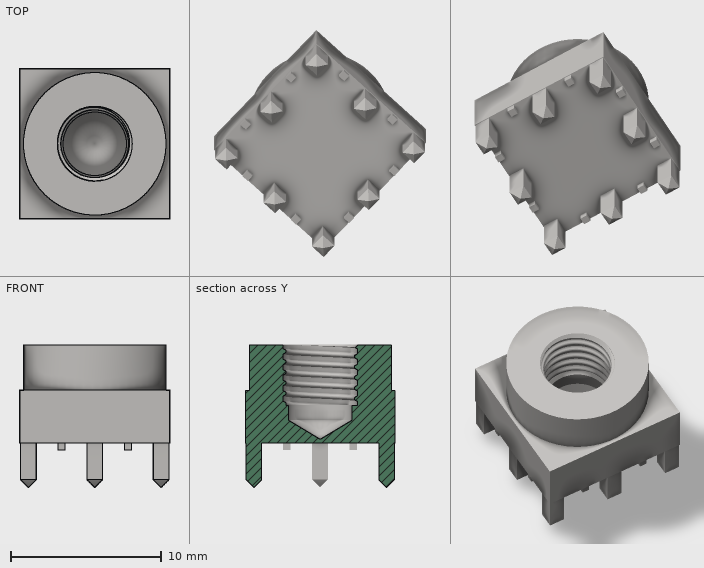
import cadquery as cq
import math

base_side = 10.0
base_height = 3.53
collar_diameter = 9.5
collar_height = 3.0
top_z = base_height + collar_height

pin_pitch = 4.42
pin_width = 1.06
pin_length = 2.97
pin_tip_flat = 0.002
pin_tip_height = (pin_width - pin_tip_flat) / 2
pin_tip_angle = 45.0
pin_shank_length = pin_length - pin_tip_height
pin_places = (-pin_pitch, 0.0, pin_pitch)

peg_width = 0.48
peg_height = 0.47
peg_offset_along = pin_pitch / 2
peg_offset_out = pin_pitch + pin_width / 2 - peg_width / 2

root_radius = 2.47
mouth_radius = 2.5
thread_depth = 4.0
drill_radius = 2.115
drill_depth = 5.0
drill_point_angle = 118.0
drill_point_depth = drill_radius / math.tan(math.radians(drill_point_angle / 2))

thread_pitch = 0.7
flank_angle = 30.0
crest_edge_radius = 2.305
crest_radius = 2.25
crest_width = 0.2
ridge_embed = 0.05
ridge_turns = 7
ridge_length = ridge_turns * thread_pitch
ridge_overrun = 0.714
ridge_top_z = top_z + ridge_overrun
ridge_top_angle = 45.0


def square_post(x, y, width, height):
    """Square post hanging from the underside of the base."""
    return cq.Workplane("XY").center(x, y).rect(width, width).extrude(-height)


def make_housing():
    """Square base with the round collar on top."""
    base = cq.Workplane("XY").rect(base_side, base_side).extrude(base_height)
    collar = cq.Workplane("XY").circle(collar_diameter / 2).extrude(top_z)
    return base.union(collar)


def make_pin(x, y):
    """Square pin ending in a four-sided point."""
    shank = square_post(x, y, pin_width, pin_shank_length)
    tip = (
        cq.Workplane("XY", origin=(x, y, -pin_shank_length))
        .rect(pin_width, pin_width)
        .extrude(-pin_tip_height, taper=pin_tip_angle)
    )
    return shank.union(tip)


def make_bore():
    """Threaded bore down to a shoulder, with a narrower drilled hole and its point below."""
    shoulder_z = top_z - thread_depth
    drill_z = top_z - drill_depth
    profile = [
        (0, top_z),
        (root_radius, top_z),
        (root_radius, shoulder_z),
        (drill_radius, shoulder_z),
        (drill_radius, drill_z),
        (0, drill_z - drill_point_depth),
    ]
    return cq.Workplane("XZ").polyline(profile).close().revolve(360, (0, 0, 0), (0, 1, 0))


def make_lead_in():
    """45 degree cone at the hole mouth, with a disc over the top face that trims the ridge end."""
    disc_top = top_z + 2 * thread_pitch
    profile = [
        (0, disc_top),
        (collar_diameter / 2, disc_top),
        (collar_diameter / 2, top_z),
        (mouth_radius, top_z),
        (0, top_z - mouth_radius),
    ]
    return cq.Workplane("XZ").polyline(profile).close().revolve(360, (0, 0, 0), (0, 1, 0))


def make_thread_ridge():
    """Helical ridge, sunk slightly into the bore wall, that starts below the shoulder."""
    slope = math.tan(math.radians(flank_angle))
    base_radius = root_radius + ridge_embed
    crest_half = crest_width / 2
    base_half = crest_half + (base_radius - crest_edge_radius) * slope
    path = cq.Wire.makeHelix(thread_pitch, ridge_length, crest_edge_radius)
    ridge = (
        cq.Workplane("XZ")
        .moveTo(base_radius, base_half)
        .lineTo(crest_edge_radius, crest_half)
        .threePointArc((crest_radius, 0), (crest_edge_radius, -crest_half))
        .lineTo(base_radius, -base_half)
        .close()
        .sweep(cq.Workplane(obj=path), isFrenet=True)
    )
    return ridge.rotate((0, 0, 0), (0, 0, 1), ridge_top_angle).translate((0, 0, ridge_top_z - ridge_length))


def make_part():
    """Threaded housing with eight pins and eight stand-off pegs; the centre has no pin."""
    lead_in = make_lead_in()
    thread_ridge = make_thread_ridge().cut(lead_in)
    part = make_housing().cut(make_bore()).union(thread_ridge).cut(lead_in)
    for x in pin_places:
        for y in pin_places:
            if x != 0 or y != 0:
                part = part.union(make_pin(x, y))
    for out in (-peg_offset_out, peg_offset_out):
        for along in (-peg_offset_along, peg_offset_along):
            part = part.union(square_post(out, along, peg_width, peg_height))
            part = part.union(square_post(along, out, peg_width, peg_height))
    return part


result = make_part()